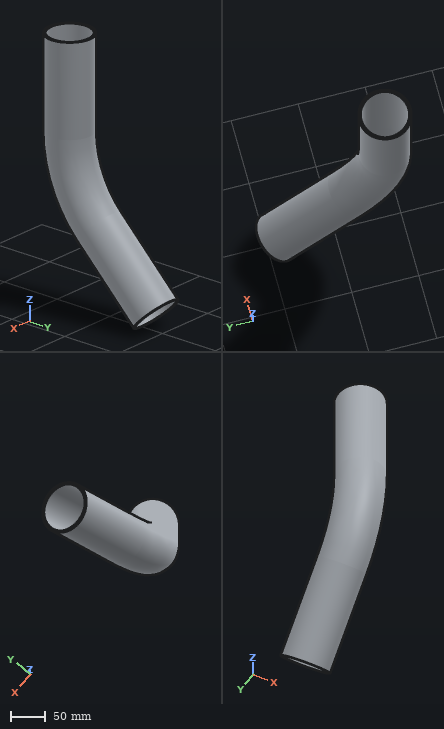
import cadquery as cq
import math

overall_height = 422.0
outer_diameter = 76.5
inner_diameter = 70.0
bend_radius = 190.5
bend_angle = math.radians(45)

outer_radius = outer_diameter / 2
sin_bend = math.sin(bend_angle)
cos_bend = math.cos(bend_angle)
leg_length = (overall_height - (bend_radius + outer_radius) * sin_bend) / (1 + cos_bend)


def bend_point(angle):
    """Centreline point (y, z) after turning by angle from the upper leg."""
    y = bend_radius * (1 - math.cos(angle))
    z = -bend_radius * math.sin(angle)
    return y, z


bend_end = bend_point(bend_angle)
lower_end = (
    bend_end[0] + leg_length * sin_bend,
    bend_end[1] - leg_length * cos_bend,
)
centreline = (
    cq.Workplane("YZ")
    .moveTo(0, leg_length)
    .lineTo(0, 0)
    .threePointArc(bend_point(bend_angle / 2), bend_end)
    .lineTo(*lower_end)
)

result = (
    cq.Workplane("XY", origin=(0, 0, leg_length))
    .circle(outer_radius)
    .circle(inner_diameter / 2)
    .sweep(centreline)
)